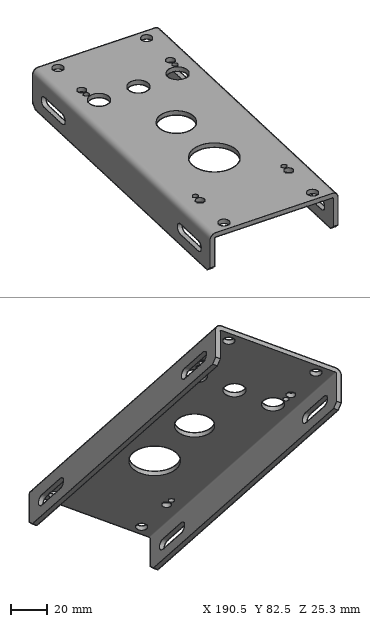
import cadquery as cq

length = 190.5
width = 82.5
height = 25.3
thickness = 3.0
inner_bend_radius = 0.8
outer_bend_radius = inner_bend_radius + thickness
corner_chamfer = 3.0

slot_length = 25.5
slot_width = 6.9
slot_offset_x = 73.0
slot_height = 10.5

hole_row_y = 28.5
corner_patterns = [
    (6.7, 89.0, hole_row_y),
    (5.3, 63.5, hole_row_y),
    (3.5, 58.5, hole_row_y),
]

row_hole_diameter = 12.8
row_hole_x = -50.3
row_hole_pitch = 25.3

medium_opening_diameter = 22.3
medium_opening_x = -9.5
large_opening_diameter = 28.5
large_opening_x = 31.2


def make_channel():
    """U-shaped channel with rounded bends and chamfered flange corners."""
    outer = cq.Workplane("XY").box(length, width, height, centered=(True, True, False))
    outer = outer.edges("|X and >Z").fillet(outer_bend_radius)
    outer = outer.edges("|Y and <Z").chamfer(corner_chamfer)
    inner = cq.Workplane("XY").box(
        length, width - 2 * thickness, height - thickness, centered=(True, True, False)
    )
    inner = inner.edges("|X and >Z").fillet(inner_bend_radius)
    return outer.cut(inner)


def drill_web(body, diameter, points):
    """Drill vertical holes through the web at the given XY points."""
    holes = cq.Workplane("XY").pushPoints(points).circle(diameter / 2).extrude(height)
    return body.cut(holes)


def cut_flange_slots(body):
    """Cut the end slots through both flanges."""
    slots = (
        cq.Workplane("XZ")
        .pushPoints([(side * slot_offset_x, slot_height) for side in (-1, 1)])
        .slot2D(slot_length, slot_width)
        .extrude(width / 2, both=True)
    )
    return body.cut(slots)


result = cut_flange_slots(make_channel())

for diameter, offset_x, offset_y in corner_patterns:
    corners = [(sx * offset_x, sy * offset_y) for sx in (-1, 1) for sy in (-1, 1)]
    result = drill_web(result, diameter, corners)

row_points = [(row_hole_x, step * row_hole_pitch) for step in (-1, 0, 1)]
result = drill_web(result, row_hole_diameter, row_points)
result = drill_web(result, medium_opening_diameter, [(medium_opening_x, 0)])
result = drill_web(result, large_opening_diameter, [(large_opening_x, 0)])